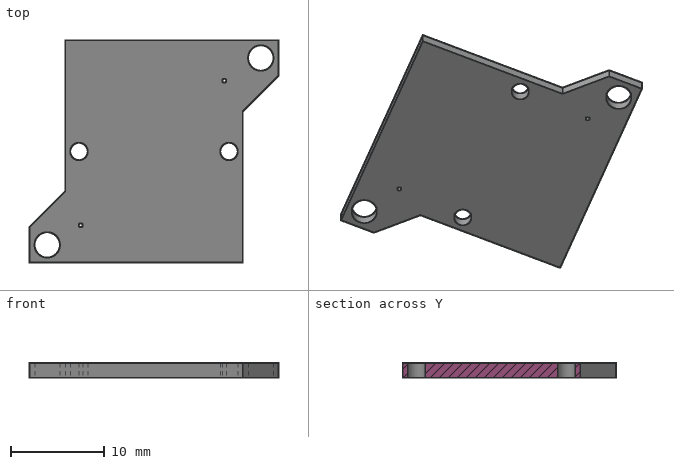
import cadquery as cq

length = 26.67
width = 23.82
thickness = 1.6

tab = 3.81

mounting_diameter = 2.7
side_diameter = 1.85
pin_diameter = 0.4

side_hole_x = 8.03
pin_holes = [(7.52, 7.57), (-7.85, -7.9)]

half_length = length / 2
half_width = width / 2
body_half_length = half_length - tab
mounting_x = half_length - tab / 2
mounting_y = half_width - tab / 2


def plate():
    """Flat plate with tabs at two opposite corners; the outline has half-turn symmetry."""
    half_outline = [
        (-body_half_length, half_width),
        (half_length, half_width),
        (half_length, half_width - tab),
        (body_half_length, half_width - 2 * tab),
    ]
    other_half = [(-x, -y) for x, y in half_outline]
    outline = cq.Workplane("XY").polyline(half_outline + other_half).close()
    return outline.extrude(thickness)


def drill(body, places, diameter):
    """Cut round holes through the full thickness."""
    drills = cq.Workplane("XY").pushPoints(places).circle(diameter / 2).extrude(thickness)
    return body.cut(drills)


result = plate()
result = drill(result, [(mounting_x, mounting_y), (-mounting_x, -mounting_y)], mounting_diameter)
result = drill(result, [(side_hole_x, 0), (-side_hole_x, 0)], side_diameter)
result = drill(result, pin_holes, pin_diameter)